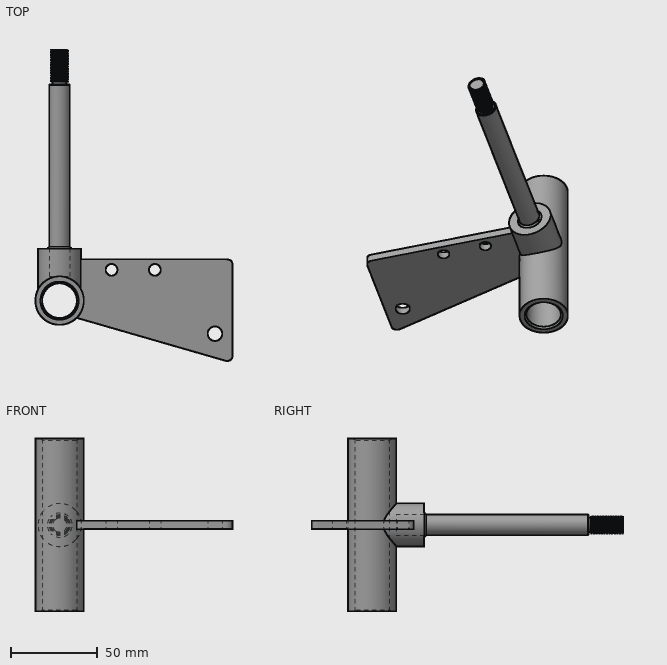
import cadquery as cq
import math

TUBE_DIAMETER = 28.0
TUBE_LENGTH = 100.0
BORE_DIAMETER = 20.0
BORE_CHAMFER = 1.0

BOSS_DIAMETER = 25.0
BOSS_END_Y = 30.0

PLATE_THICKNESS = 5.0
PLATE_RIGHT_X = 100.0
PLATE_BACK_Y = 24.0
PLATE_LOW_CORNER_Y = -36.0
PLATE_SLOPE_ANGLE = 16.1
PLATE_CORNER_RADIUS = 3.2
SMALL_HOLE_DIAMETER = 6.7
SMALL_HOLE_Y = 17.8
SMALL_HOLE_XS = (30.0, 55.0)
LARGE_HOLE_DIAMETER = 8.3
LARGE_HOLE_CENTER = (89.8, -19.0)

ROD_DIAMETER = 12.0
ROD_START_Y = TUBE_DIAMETER / 2
ROD_SHOULDER_Y = 125.0
ROD_END_Y = 145.0
ROD_CHAMFER = 0.5
ROD_COLLAR_SIZE = 1.0

THREAD_DIAMETER = 10.0
THREAD_CORE_DIAMETER = 8.3
THREAD_PITCH = 1.5
THREAD_CREST_WIDTH = 0.27
THREAD_ROOT_WIDTH = 1.3
THREAD_EMBED = 0.09
THREAD_RELIEF_LENGTH = 1.3


def cylinder_along_y(diameter, start_y, end_y):
    return (
        cq.Workplane("XZ", origin=(0, start_y, 0))
        .circle(diameter / 2)
        .extrude(start_y - end_y)
    )


def make_plate():
    drop = PLATE_RIGHT_X * math.tan(math.radians(PLATE_SLOPE_ANGLE))
    outline = [
        (0, PLATE_BACK_Y),
        (PLATE_RIGHT_X, PLATE_BACK_Y),
        (PLATE_RIGHT_X, PLATE_LOW_CORNER_Y),
        (0, PLATE_LOW_CORNER_Y + drop),
    ]
    plate = (
        cq.Workplane("XY", origin=(0, 0, -PLATE_THICKNESS / 2))
        .polyline(outline)
        .close()
        .extrude(PLATE_THICKNESS)
    )
    plate = plate.edges("|Z and >X").fillet(PLATE_CORNER_RADIUS)
    top = plate.faces(">Z").workplane(origin=(0, 0, 0))
    plate = top.pushPoints([(x, SMALL_HOLE_Y) for x in SMALL_HOLE_XS]).hole(SMALL_HOLE_DIAMETER)
    top = plate.faces(">Z").workplane(origin=(0, 0, 0))
    return top.pushPoints([LARGE_HOLE_CENTER]).hole(LARGE_HOLE_DIAMETER)


def make_bore():
    bore = cq.Workplane("XY").circle(BORE_DIAMETER / 2).extrude(TUBE_LENGTH / 2, both=True)
    countersink = (
        cq.Workplane("XY", origin=(0, 0, TUBE_LENGTH / 2))
        .circle(BORE_DIAMETER / 2 + BORE_CHAMFER)
        .extrude(-BORE_CHAMFER, taper=45)
    )
    return bore.union(countersink).union(countersink.mirror("XY"))


def make_bracket():
    tube = cq.Workplane("XY").circle(TUBE_DIAMETER / 2).extrude(TUBE_LENGTH / 2, both=True)
    boss = cylinder_along_y(BOSS_DIAMETER, 0, BOSS_END_Y)
    socket = cylinder_along_y(ROD_DIAMETER, ROD_START_Y, BOSS_END_Y)
    return tube.union(boss).union(make_plate()).cut(make_bore()).cut(socket)


def make_thread():
    """Core with a helical ridge, built overlong along +Z, trimmed square, then laid along +Y."""
    start = ROD_SHOULDER_Y + THREAD_RELIEF_LENGTH
    length = ROD_END_Y - start
    overlong_length = length + 2 * THREAD_PITCH
    base_radius = THREAD_CORE_DIAMETER / 2 - THREAD_EMBED
    crest_radius = THREAD_DIAMETER / 2
    helix = cq.Wire.makeHelix(THREAD_PITCH, overlong_length, base_radius)
    profile = [
        (base_radius, -THREAD_ROOT_WIDTH / 2),
        (crest_radius, -THREAD_CREST_WIDTH / 2),
        (crest_radius, THREAD_CREST_WIDTH / 2),
        (base_radius, THREAD_ROOT_WIDTH / 2),
    ]
    ridge = cq.Workplane("XZ").polyline(profile).close().sweep(cq.Workplane(obj=helix), isFrenet=True)
    core = (
        cq.Workplane("XY", origin=(0, 0, -THREAD_PITCH))
        .circle(THREAD_CORE_DIAMETER / 2)
        .extrude(overlong_length + 2 * THREAD_PITCH)
    )
    trim = (
        cq.Workplane("XY", origin=(0, 0, THREAD_PITCH))
        .circle(THREAD_DIAMETER)
        .extrude(length)
    )
    thread = core.union(ridge, clean=False).intersect(trim, clean=False)
    thread = thread.translate((0, 0, start - THREAD_PITCH))
    return thread.rotate((0, 0, 0), (1, 0, 0), -90)


def make_rod():
    shank = cylinder_along_y(ROD_DIAMETER, ROD_START_Y, ROD_SHOULDER_Y)
    shank = shank.faces(">Y").chamfer(ROD_CHAMFER)
    collar = (
        cq.Workplane("XZ", origin=(0, BOSS_END_Y, 0))
        .circle(ROD_DIAMETER / 2 + ROD_COLLAR_SIZE)
        .extrude(-ROD_COLLAR_SIZE, taper=45)
    )
    neck = cylinder_along_y(
        THREAD_CORE_DIAMETER, ROD_SHOULDER_Y, ROD_SHOULDER_Y + THREAD_RELIEF_LENGTH
    )
    return shank.union(collar).union(neck).union(make_thread(), clean=False)


bracket = make_bracket()
rod = make_rod()

result = cq.Compound.makeCompound([*bracket.solids().vals(), *rod.solids().vals()])